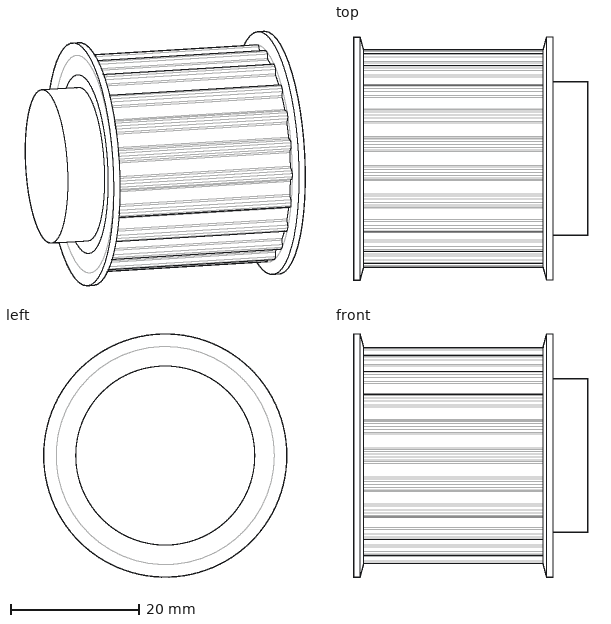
import cadquery as cq
import math

total_length = 36.55
flange_diameter = 38.0
hub_diameter = 24.0
spigot_diameter = 27.95

toothed_width = 28.0
flange_thickness = 1.03
flare_depth = 0.55
flare_start_radius = 17.02

tooth_count = 22
tip_radius = 17.0
root_radius = 15.95
tip_half_width = 0.55
flank_angle = 25.0
tip_rounding = 0.45
root_rounding = 0.3

tooth_overshoot = 0.38
root_margin = 0.05

rim_radius = flange_diameter / 2
core_half_length = toothed_width / 2 + flange_thickness
flange_end = core_half_length + flare_depth
hub_end = total_length - flange_end
tooth_pitch = 360.0 / tooth_count


def cylinder(diameter, start, end):
    """Cylinder about the X axis between two X positions."""
    return cq.Workplane("YZ", origin=(start, 0, 0)).circle(diameter / 2).extrude(end - start)


def tooth():
    """Straight-flanked tooth along -Y, overshooting the root and tip circles."""
    flank_slope = math.tan(math.radians(flank_angle))
    base_radius = root_radius - tooth_overshoot
    outer_radius = tip_radius + tooth_overshoot
    base_half_width = tip_half_width + (tip_radius - base_radius) * flank_slope
    outer_half_width = tip_half_width - tooth_overshoot * flank_slope
    return (
        cq.Workplane("YZ", origin=(-toothed_width / 2, 0, 0))
        .polyline([
            (-base_radius, -base_half_width),
            (-outer_radius, -outer_half_width),
            (-outer_radius, outer_half_width),
            (-base_radius, base_half_width),
        ])
        .close()
        .extrude(toothed_width)
    )


def long_edges(gear, inner_radius, outer_radius):
    """Edges parallel to the axis that lie between two radii."""
    def in_band(edge):
        center = edge.Center()
        return inner_radius < math.hypot(center.y, center.z) < outer_radius
    return gear.edges("|X").filter(in_band)


def make_toothed_ring():
    """Toothed cylinder with rounded tooth tips and roots."""
    half_width = toothed_width / 2
    gear = cylinder(2 * root_radius, -half_width, half_width)
    for index in range(tooth_count):
        gear = gear.union(tooth().rotate((0, 0, 0), (1, 0, 0), index * tooth_pitch))
    gear = gear.intersect(cylinder(2 * tip_radius, -half_width, half_width))

    middle_radius = (root_radius + tip_radius) / 2
    gear = long_edges(gear, middle_radius, flange_diameter).fillet(tip_rounding)
    near_root = root_radius + root_margin
    return long_edges(gear, 0, near_root).fillet(root_rounding)


def make_pulley():
    """Toothed ring with a spigot for each flange and a hub on the +X end."""
    spigots = cylinder(spigot_diameter, -core_half_length, core_half_length)
    hub = cylinder(hub_diameter, 0, hub_end)
    return make_toothed_ring().union(spigots).union(hub)


def make_flange():
    """Flared ring on the +X end, fitted over the spigot."""
    inner_face = toothed_width / 2
    bore_radius = spigot_diameter / 2
    return (
        cq.Workplane("XY")
        .polyline([
            (inner_face, bore_radius),
            (inner_face, flare_start_radius),
            (inner_face + flare_depth, rim_radius),
            (flange_end, rim_radius),
            (core_half_length, flare_start_radius),
            (core_half_length, bore_radius),
        ])
        .close()
        .revolve(360, (0, 0, 0), (1, 0, 0))
    )


pulley = make_pulley()
flanges = [make_flange().rotate((0, 0, 0), (0, 0, 1), turn) for turn in (0, 180)]

result = cq.Compound.makeCompound([pulley.val(), *[flange.val() for flange in flanges]])